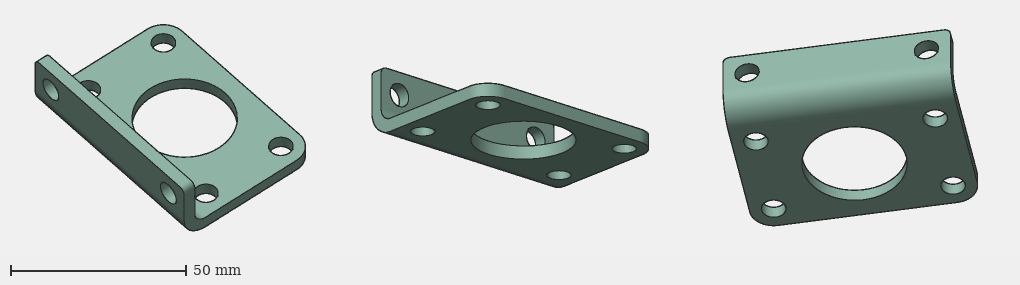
import cadquery as cq

width = 66.0
depth = 49.0
height = 21.0

thickness = 4.0
inner_bend_radius = 4.0
outer_bend_radius = inner_bend_radius + thickness

base_corner_radius = 7.0
flange_corner_radius = 2.0

mount_hole_diameter = 7.0
mount_hole_inset = 7.0
mount_hole_pitch_y = 28.0
bore_diameter = 30.0

hole_x = width / 2 - mount_hole_inset
rear_hole_y = depth - mount_hole_inset
front_hole_y = rear_hole_y - mount_hole_pitch_y
bore_y = (rear_hole_y + front_hole_y) / 2
flange_hole_z = height - mount_hole_inset


def bent_sheet():
    """L-shaped side profile with a concentric bend, extruded across the width."""
    sheet = (
        cq.Workplane("YZ")
        .moveTo(depth, 0)
        .lineTo(0, 0)
        .lineTo(0, height)
        .lineTo(thickness, height)
        .lineTo(thickness, thickness)
        .lineTo(depth, thickness)
        .close()
        .extrude(width / 2, both=True)
    )
    sheet = sheet.faces("<Y").edges("<Z").fillet(outer_bend_radius)
    inner_corner = cq.NearestToPointSelector((0, thickness, thickness))
    return sheet.edges("|X").edges(inner_corner).fillet(inner_bend_radius)


def round_corners(sheet):
    """Round the free corners of the base plate and of the flange."""
    sheet = sheet.faces(">Y").edges("|Z").fillet(base_corner_radius)
    return sheet.faces(">Z").edges("|Y").fillet(flange_corner_radius)


def base_holes():
    """Cutters for the large bore and the four mounting holes around it."""
    bore = cq.Workplane("XY").center(0, bore_y).circle(bore_diameter / 2).extrude(thickness)
    mounts = (
        cq.Workplane("XY")
        .pushPoints([(x, y) for x in (-hole_x, hole_x) for y in (front_hole_y, rear_hole_y)])
        .circle(mount_hole_diameter / 2)
        .extrude(thickness)
    )
    return bore.union(mounts)


def flange_holes():
    """Cutters for the two holes through the upright flange."""
    return (
        cq.Workplane("XZ")
        .pushPoints([(-hole_x, flange_hole_z), (hole_x, flange_hole_z)])
        .circle(mount_hole_diameter / 2)
        .extrude(-thickness)
    )


result = round_corners(bent_sheet()).cut(base_holes()).cut(flange_holes())